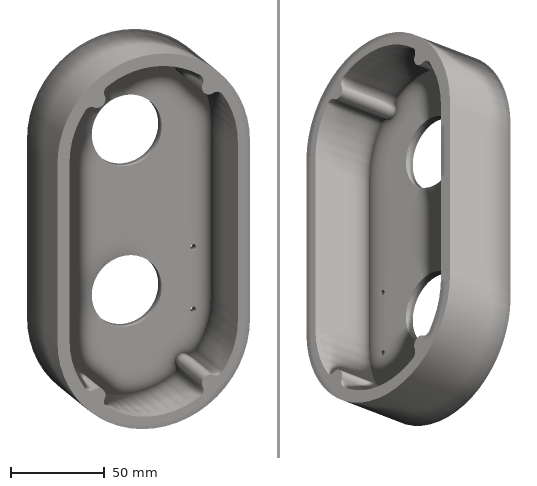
import cadquery as cq
import math

depth = 45.0
width = 110.0
height = 210.0
end_centre_z = (height - width) / 2

side_wall = 7.0
face_thickness = 5.0
cavity_radius = width / 2 - side_wall

opening_diameter = 40.0
opening_spacing = 90.0
opening_heights = (end_centre_z, end_centre_z - opening_spacing)

mount_diameter = 3.2
mount_y = 38.0
mount_heights = (-20.0, -55.0)

boss_radius = 4.5
boss_offset = 46.0
boss_angle = 46
boss_fillet = 4.0


def slot_prism(slot_height, slot_width, start_x):
    """Slot-shaped prism from start_x to the open side."""
    return (
        cq.Workplane("YZ", origin=(start_x, 0, 0))
        .slot2D(slot_height, slot_width, 90)
        .extrude(depth - start_x)
    )


def face_holes(points, diameter):
    """Round cutters through the face at the given (y, z) points."""
    return cq.Workplane("YZ").pushPoints(points).circle(diameter / 2).extrude(face_thickness)


def boss_centres():
    """The (y, z) centres of the four bosses, one per corner."""
    y = boss_offset * math.cos(math.radians(boss_angle))
    z = end_centre_z + boss_offset * math.sin(math.radians(boss_angle))
    return [(side * y, end * z) for side in (-1, 1) for end in (-1, 1)]


cavity = slot_prism(2 * (end_centre_z + cavity_radius), 2 * cavity_radius, face_thickness)
bosses = (
    cq.Workplane("YZ", origin=(face_thickness, 0, 0))
    .pushPoints(boss_centres())
    .circle(boss_radius)
    .extrude(depth - face_thickness)
)
cavity = cavity.cut(bosses)


def is_boss_corner(edge):
    """True for an edge along X where a boss meets the cavity wall."""
    tolerance = 0.02
    middle = edge.Center()
    wall_distance = math.hypot(middle.y, abs(middle.z) - end_centre_z)
    boss_distance = min(math.hypot(middle.y - y, middle.z - z) for y, z in boss_centres())
    on_wall = abs(wall_distance - cavity_radius) < tolerance
    on_boss = abs(boss_distance - boss_radius) < tolerance
    return on_wall and on_boss


boss_corners = [edge for edge in cavity.edges("|X").vals() if is_boss_corner(edge)]
cavity = cavity.newObject(boss_corners).fillet(boss_fillet)

body = slot_prism(height, width, 0).cut(cavity)
openings = face_holes([(0, z) for z in opening_heights], opening_diameter)
mounts = face_holes([(side * mount_y, z) for side in (-1, 1) for z in mount_heights], mount_diameter)

result = body.cut(openings).cut(mounts)